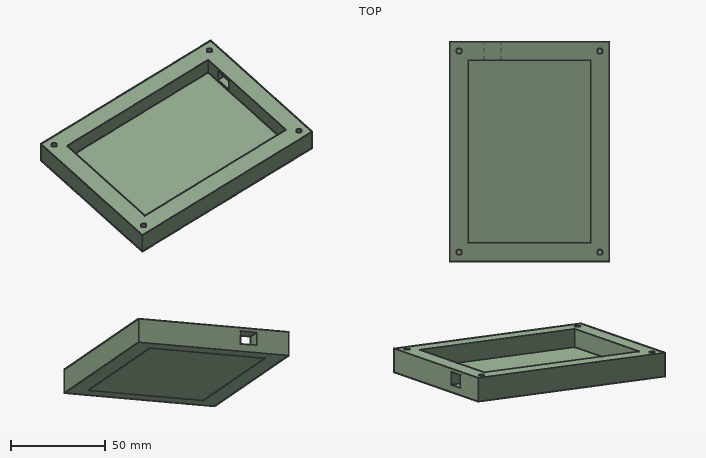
import cadquery as cq

width = 85.0
length = 117.0
height = 13.0
wall = 10.0

opening_width = width - 2 * wall
opening_length = length - 2 * wall
floor_thickness = 3.0

hole_diameter = 2.9
hole_inset = 5.0
hole_depth = height - floor_thickness

port_width = 9.1
port_height = 7.0
port_corner_offset = 8.2
port_floor_gap = 1.0


def make_opening_block(block_height):
    """Block with the outline of the opening, standing on the underside plane."""
    return cq.Workplane("XY").box(
        opening_width, opening_length, block_height, centered=(True, True, False)
    )


def make_screw_holes():
    """Cutters for the four blind holes at the frame corners."""
    return (
        cq.Workplane("XY")
        .workplane(offset=height)
        .rect(width - 2 * hole_inset, length - 2 * hole_inset, forConstruction=True)
        .vertices()
        .circle(hole_diameter / 2)
        .extrude(-hole_depth)
    )


def make_port():
    """Cutter for the port, reaching from the opening to the outer +Y face."""
    port_corner = (
        -opening_width / 2 + port_corner_offset,
        opening_length / 2,
        floor_thickness + port_floor_gap,
    )
    return (
        cq.Workplane("XY")
        .box(port_width, wall, port_height, centered=False)
        .translate(port_corner)
    )


def make_frame():
    """Rectangular frame with corner holes and a port in one wall."""
    block = cq.Workplane("XY").box(width, length, height, centered=(True, True, False))
    return block.cut(make_opening_block(height)).cut(make_screw_holes()).cut(make_port())


def make_floor_panel():
    """Panel that fills the bottom of the frame opening, flush with the underside."""
    return make_opening_block(floor_thickness)


frame = make_frame()
floor_panel = make_floor_panel()

result = cq.Compound.makeCompound([frame.val(), floor_panel.val()])